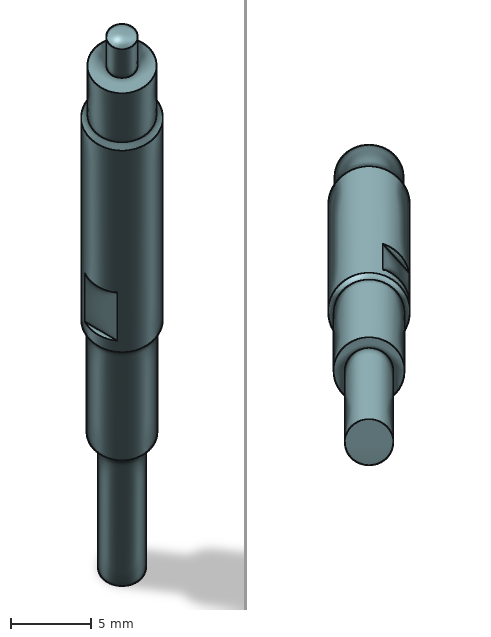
import cadquery as cq

total_length = 56.0

tail_diameter = 3.0
lower_diameter = 4.4
body_diameter = 5.1
collar_diameter = 4.3
pin_diameter = 1.95

tail_top = 14.15
body_bottom = 25.65
body_top = 47.5
collar_top = 52.65

taper_height = 0.35
tip_height = 0.35

flat_bottom = 27.15
flat_height = 5.05
across_flats = 4.4


def make_turned_shape():
    """Revolve the stepped half-section, including the domed pin tip, about Z."""
    tail_radius = tail_diameter / 2
    lower_radius = lower_diameter / 2
    body_radius = body_diameter / 2
    collar_radius = collar_diameter / 2
    pin_radius = pin_diameter / 2

    dome_radius = (pin_radius**2 + tip_height**2) / (2 * tip_height)
    dome_center = total_length - dome_radius
    mid_radius = pin_radius / 2
    dome_mid = (mid_radius, dome_center + (dome_radius**2 - mid_radius**2) ** 0.5)

    return (
        cq.Workplane("XZ")
        .moveTo(0, 0)
        .lineTo(tail_radius, 0)
        .lineTo(tail_radius, tail_top)
        .lineTo(lower_radius, tail_top)
        .lineTo(lower_radius, body_bottom)
        .lineTo(body_radius, body_bottom + taper_height)
        .lineTo(body_radius, body_top - taper_height)
        .lineTo(collar_radius, body_top)
        .lineTo(collar_radius, collar_top)
        .lineTo(pin_radius, collar_top)
        .lineTo(pin_radius, total_length - tip_height)
        .threePointArc(dome_mid, (0, total_length))
        .close()
        .revolve(360, (0, 0, 0), (0, 1, 0))
    )


def make_flat_cutter(side):
    """Block that mills one flat; side is -1 for the front and +1 for the back."""
    center_y = side * (across_flats + body_diameter) / 2
    center_z = flat_bottom + flat_height / 2
    return (
        cq.Workplane("XY")
        .box(body_diameter, body_diameter, flat_height)
        .translate((0, center_y, center_z))
    )


result = make_turned_shape()
for side in (-1, 1):
    result = result.cut(make_flat_cutter(side))